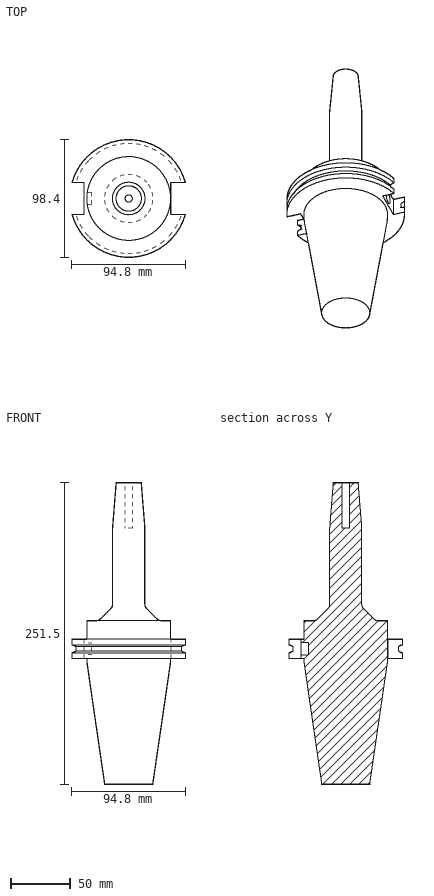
import cadquery as cq
import math

total_height = 251.5
gauge_height = 101.6
flange_bottom = 105.0
flange_top = 121.0
collar_top = 136.5
nose_base = 213.5

gauge_radius = 35.0
taper_ratio = 7 / 24
shank_end_radius = gauge_radius - gauge_height * taper_ratio / 2

flange_radius = 49.2
groove_floor_radius = 46.0
groove_width = 6.8
groove_floor_width = 3.8
groove_middle = (flange_bottom + flange_top) / 2

neck_radius = 13.5
nose_tip_radius = 10.5
flare_height = 11.3
flare_blend_radius = 5.0
flare_foot_radius = neck_radius + flare_height
bore_diameter = 6.0
bore_depth = 37.7

slot_width = 26.5
slot_floor_left = -37.5
slot_floor_right = 35.2
slot_hole_diameter = 9.8
slot_hole_depth = 6.3


def make_body():
    """Revolve the holder outline, with arcs where the flare meets the neck and collar."""
    blend_tangent = flare_blend_radius * math.tan(math.radians(22.5))
    blend_step = blend_tangent * math.cos(math.radians(45))
    corner_gap = flare_blend_radius * (1 / math.cos(math.radians(22.5)) - 1)
    gap_along = corner_gap * math.sin(math.radians(22.5))
    gap_across = corner_gap * math.cos(math.radians(22.5))
    flare_top = collar_top + flare_height

    outline = (
        cq.Workplane("XZ")
        .moveTo(0, 0)
        .lineTo(shank_end_radius, 0)
        .lineTo(gauge_radius, gauge_height)
        .lineTo(gauge_radius, flange_bottom)
        .lineTo(flange_radius, flange_bottom)
        .lineTo(flange_radius, groove_middle - groove_width / 2)
        .lineTo(groove_floor_radius, groove_middle - groove_floor_width / 2)
        .lineTo(groove_floor_radius, groove_middle + groove_floor_width / 2)
        .lineTo(flange_radius, groove_middle + groove_width / 2)
        .lineTo(flange_radius, flange_top)
        .lineTo(gauge_radius, flange_top)
        .lineTo(gauge_radius, collar_top)
        .lineTo(flare_foot_radius + blend_tangent, collar_top)
        .threePointArc(
            (flare_foot_radius + gap_along, collar_top + gap_across),
            (flare_foot_radius - blend_step, collar_top + blend_step),
        )
        .lineTo(neck_radius + blend_step, flare_top - blend_step)
        .threePointArc(
            (neck_radius + gap_across, flare_top + gap_along),
            (neck_radius, flare_top + blend_tangent),
        )
        .lineTo(neck_radius, nose_base)
        .lineTo(nose_tip_radius, total_height)
        .lineTo(0, total_height)
        .close()
    )
    return outline.revolve(360, (0, 0, 0), (0, 1, 0))


def make_drive_slot(floor_x):
    """Box that cuts the flange outward from a slot floor at floor_x."""
    side = math.copysign(1, floor_x)
    return (
        cq.Workplane("XY", origin=(floor_x + side * flange_radius / 2, 0, groove_middle))
        .box(flange_radius, slot_width, flange_top - flange_bottom)
    )


def make_slot_hole():
    """Blind round hole running inward from the floor of the -X slot."""
    return (
        cq.Workplane("YZ", origin=(slot_floor_left, 0, groove_middle))
        .circle(slot_hole_diameter / 2)
        .extrude(slot_hole_depth)
    )


def make_bore():
    """Blind axial bore running down from the nose tip."""
    return (
        cq.Workplane("XY", origin=(0, 0, total_height))
        .circle(bore_diameter / 2)
        .extrude(-bore_depth)
    )


result = make_body()
for floor_x in (slot_floor_left, slot_floor_right):
    result = result.cut(make_drive_slot(floor_x))
result = result.cut(make_slot_hole()).cut(make_bore())